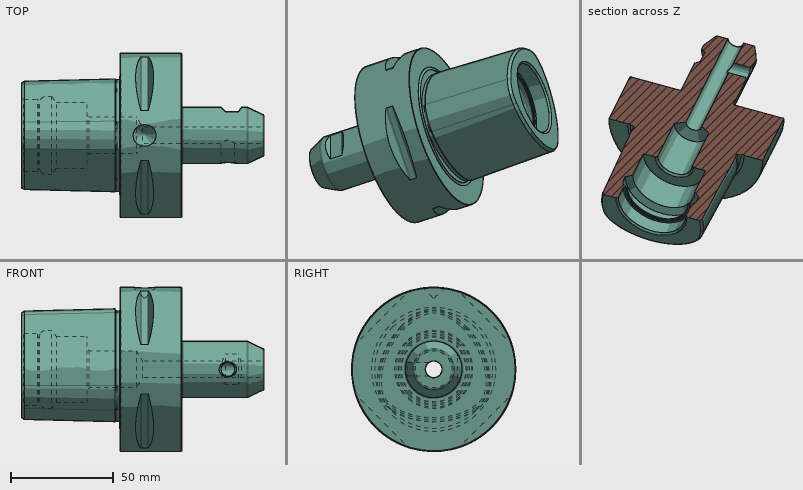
import cadquery as cq
import math


shank_length = 48.0
polygon_radius = 27.5
polygon_lobe = 2.0
lobe_half_angle = 26.0
taper_slope = 1 / 40
gauge_x = -2.4
relief_x = -2.0
relief_depth = 0.2
nose_chamfer_length = 1.5
nose_chamfer_height = 0.9
foot_overlap = 0.4

flange_radius = 40.0
flange_width = 30.0
flange_chamfer = 0.4
flange_front_chamfer = 0.2
hub_radius = 28.7
hub_height = 0.35
hub_groove_radius = 30.2
hub_groove_depth = 0.35
neck_radius = 28.4
neck_start_x = -1.4

grip_x = 11.9
slot_count = 4
slot_floor_height = 35.5
slot_floor_width = 3.6
slot_floor_fillet = 0.5
slot_wall_angle = 30.0
mark_radius = 5.6

pilot_radius = 27.5 / 2
pilot_length = 40.0
pilot_root_fillet = 0.5
pilot_cone_x = 61.9
pilot_cone_angle = 25.5
pilot_cone_fillet = 1.0
pilot_end_fillet = 0.8
end_x = flange_width + pilot_length

notch_floor_y = 11.55
notch_floor_start = 51.2
notch_floor_end = 57.5
notch_run_inner = 2.1
notch_run_outer = 1.6
pin_hole_x = 52.4
pin_hole_diameter = 6.65
pin_hole_mouth = 8.5

bore_mouth_radius = 18.4
bore_mouth_chamfer = 0.9
entry_radius = 17.5
entry_depth = 7.8
shoulder_radius = 16.8
bore_radius = 32.0 / 2
lip_radius = 15.7
lip_chamfer = 0.3
lip_start = 8.1
lip_end = 8.75
groove_radius = 38.0 / 2
groove_end = 14.7
groove_exit = 17.0
bore_depth = 32.0
screw_mouth_radius = 9.9
screw_hole_radius = 17.84 / 2
screw_hole_depth = 24.0
drill_point_angle = 118.0
through_radius = 8.0 / 2


def polygon_point(x, radius, angle):
    """Point of the three-lobed outline whose normal lies at `angle` from +Z."""
    support = radius + polygon_lobe * math.cos(3 * angle)
    slope = -3 * polygon_lobe * math.sin(3 * angle)
    y = support * math.sin(angle) + slope * math.cos(angle)
    z = support * math.cos(angle) - slope * math.sin(angle)
    return cq.Vector(x, y, z)


def polygon_edge(x, radius, start, end, spans=10):
    """One smooth stretch of the outline between two normal angles."""
    angles = [start + (end - start) * i / spans for i in range(spans + 1)]
    points = [polygon_point(x, radius, a) for a in angles]
    tangents = [cq.Vector(0, math.cos(a), -math.sin(a)) for a in (start, end)]
    return cq.Edge.makeSpline(points, tangents=tangents)


def polygon_wire(x, radius):
    """Closed outline: three tight lobe stretches and three flatter ones between them."""
    third = 2 * math.pi / 3
    half = math.radians(lobe_half_angle)
    edges = []
    for i in range(3):
        lobe = i * third
        edges.append(polygon_edge(x, radius, lobe - half, lobe + half))
        edges.append(polygon_edge(x, radius, lobe + half, lobe + third - half))
    return cq.Wire.assembleEdges(edges)


def polygon_frustum(x_start, radius_start, x_end, radius_end):
    wires = [polygon_wire(x_start, radius_start), polygon_wire(x_end, radius_end)]
    return cq.Workplane(obj=cq.Solid.makeLoft(wires, True))


def revolve_about_x(profile):
    return profile.close().revolve(360, (0, 0, 0), (1, 0, 0))


def make_shank():
    nose_x = -shank_length
    chamfer_x = nose_x + nose_chamfer_length
    small_radius = polygon_radius - taper_slope * (gauge_x - chamfer_x)
    relief_radius = polygon_radius - relief_depth
    nose = polygon_frustum(nose_x, small_radius - nose_chamfer_height, chamfer_x, small_radius)
    taper = polygon_frustum(chamfer_x, small_radius, gauge_x, polygon_radius)
    step = polygon_frustum(gauge_x, polygon_radius, relief_x, relief_radius)
    foot = polygon_frustum(relief_x, relief_radius, foot_overlap, relief_radius)
    shank = nose.union(taper).union(step).union(foot)

    outer = polygon_radius + 2 * polygon_lobe
    round_size = polygon_radius + polygon_lobe - neck_radius
    shoulder_x = neck_start_x - round_size
    middle = round_size * (1 - math.sqrt(0.5))
    neck_cut = (
        cq.Workplane("XY")
        .moveTo(foot_overlap, neck_radius)
        .lineTo(neck_start_x, neck_radius)
        .threePointArc(
            (shoulder_x + middle, neck_radius + middle),
            (shoulder_x, neck_radius + round_size),
        )
        .lineTo(shoulder_x, outer)
        .lineTo(foot_overlap, outer)
    )
    return shank.cut(revolve_about_x(neck_cut))


def make_flange_and_pilot():
    cone_drop = (end_x - pilot_cone_x) * math.tan(math.radians(pilot_cone_angle))
    cone_end_radius = pilot_radius - cone_drop
    root = pilot_root_fillet
    root_middle = root * (1 - math.sqrt(0.5))
    groove_middle = (hub_groove_depth, (hub_radius + hub_groove_radius) / 2)
    profile = (
        cq.Workplane("XY")
        .moveTo(-hub_height, 0)
        .lineTo(-hub_height, hub_radius)
        .threePointArc(groove_middle, (0, hub_groove_radius))
        .lineTo(0, flange_radius - flange_front_chamfer)
        .lineTo(flange_front_chamfer, flange_radius)
        .lineTo(flange_width - flange_chamfer, flange_radius)
        .lineTo(flange_width, flange_radius - flange_chamfer)
        .lineTo(flange_width, pilot_radius + root)
        .threePointArc(
            (flange_width + root_middle, pilot_radius + root_middle),
            (flange_width + root, pilot_radius),
        )
        .lineTo(pilot_cone_x, pilot_radius)
        .lineTo(end_x, cone_end_radius)
        .lineTo(end_x, 0)
    )
    body = revolve_about_x(profile)
    body = body.faces(">X").edges().fillet(pilot_end_fillet)
    cone_start = cq.selectors.NearestToPointSelector((pilot_cone_x, 0, 0))
    return body.edges(cone_start).fillet(pilot_cone_fillet)


def make_bore():
    nose_x = -shank_length
    floor_x = nose_x + bore_depth
    round_size = groove_radius - lip_radius
    round_centre_x = nose_x + lip_end + round_size
    round_offset = round_size * math.sqrt(0.5)
    screw_end_x = floor_x + screw_hole_depth
    point_slope = math.tan(math.radians(drill_point_angle / 2))
    point_length = (screw_hole_radius - through_radius) / point_slope
    profile = (
        cq.Workplane("XY")
        .moveTo(nose_x, 0)
        .lineTo(nose_x, bore_mouth_radius)
        .lineTo(nose_x + bore_mouth_chamfer, entry_radius)
        .lineTo(nose_x + entry_depth, entry_radius)
        .lineTo(nose_x + lip_start, shoulder_radius)
        .lineTo(nose_x + lip_start, lip_radius + lip_chamfer)
        .lineTo(nose_x + lip_start + lip_chamfer, lip_radius)
        .lineTo(nose_x + lip_end, lip_radius)
        .threePointArc(
            (round_centre_x - round_offset, lip_radius + round_offset),
            (round_centre_x, groove_radius),
        )
        .lineTo(nose_x + groove_end, groove_radius)
        .lineTo(nose_x + groove_exit, bore_radius)
        .lineTo(floor_x, bore_radius)
        .lineTo(floor_x, screw_mouth_radius)
        .lineTo(floor_x + screw_mouth_radius - screw_hole_radius, screw_hole_radius)
        .lineTo(screw_end_x, screw_hole_radius)
        .lineTo(screw_end_x + point_length, through_radius)
        .lineTo(end_x, through_radius)
        .lineTo(end_x, 0)
    )
    return revolve_about_x(profile)


def make_grip_slot(angle):
    """Straight trapezoidal slot across the rim, centred `angle` degrees round from +Z."""
    height = flange_radius - slot_floor_height
    half_floor = slot_floor_width / 2
    half_mouth = half_floor + height * math.tan(math.radians(slot_wall_angle))
    slot = (
        cq.Workplane("XZ")
        .moveTo(grip_x - half_floor, slot_floor_height)
        .lineTo(grip_x + half_floor, slot_floor_height)
        .lineTo(grip_x + half_mouth, flange_radius)
        .lineTo(grip_x - half_mouth, flange_radius)
        .close()
        .extrude(flange_radius, both=True)
    )
    slot = slot.faces("<Z").edges("|Y").fillet(slot_floor_fillet)
    return slot.rotate((0, 0, 0), (1, 0, 0), angle)


def make_orientation_mark():
    apex_height = flange_radius - mark_radius
    cone = cq.Solid.makeCone(
        0, mark_radius, mark_radius, cq.Vector(grip_x, 0, apex_height), cq.Vector(0, 0, 1)
    )
    return cq.Workplane(obj=cone)


def make_pilot_notch():
    depth = pilot_radius - notch_floor_y
    return (
        cq.Workplane("XY")
        .moveTo(notch_floor_start, notch_floor_y)
        .lineTo(notch_floor_end, notch_floor_y)
        .lineTo(notch_floor_end + notch_run_outer, notch_floor_y + depth)
        .lineTo(notch_floor_start - notch_run_inner, notch_floor_y + depth)
        .close()
        .extrude(pilot_radius, both=True)
    )


def make_pin_hole():
    """Radial hole from the -Y side into the central bore, with a 45 degree mouth."""
    radius = pin_hole_diameter / 2
    mouth = pin_hole_mouth / 2
    profile = (
        cq.Workplane("XY")
        .moveTo(pin_hole_x, 0)
        .lineTo(pin_hole_x + radius, 0)
        .lineTo(pin_hole_x + radius, -(pilot_radius - (mouth - radius)))
        .lineTo(pin_hole_x + mouth, -pilot_radius)
        .lineTo(pin_hole_x, -pilot_radius)
        .close()
    )
    return profile.revolve(360, (pin_hole_x, 0, 0), (pin_hole_x, 1, 0))


result = make_flange_and_pilot().union(make_shank()).cut(make_bore())
for slot_index in range(slot_count):
    result = result.cut(make_grip_slot((slot_index + 0.5) * 360 / slot_count))
result = result.cut(make_orientation_mark()).cut(make_pilot_notch()).cut(make_pin_hole())